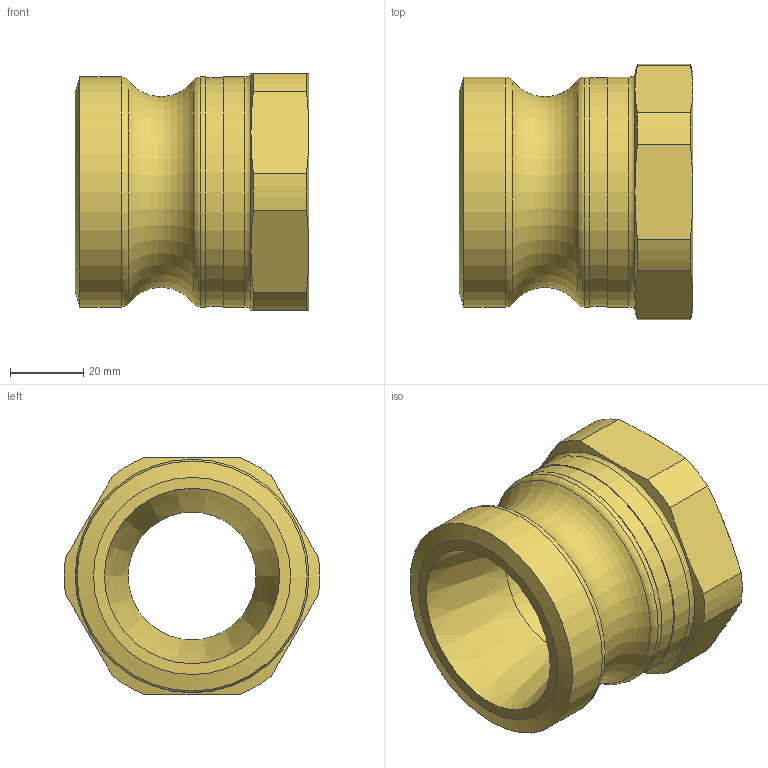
import math

import cadquery as cq

total_length = 64.0
spigot_radius = 63.0 / 2
hex_across_flats = 65.0
hex_turned_radius = 70.0 / 2
chamfer_angle = 15.0
chamfer_slope = math.tan(math.radians(chamfer_angle))

nose_face_radius = 27.0
nose_chamfer_length = (spigot_radius - nose_face_radius) * chamfer_slope

cam_groove_center_x = 23.5
cam_groove_floor_radius = 26.1
cam_groove_arc_radius = 11.0
cam_shoulder_radius = 2.5

band_start_x = 35.8
band_end_x = 40.6
band_radius = 62.5 / 2

hex_sides = 6
hex_start_x = 48.0
hex_front_radius = 32.0
hex_back_radius = hex_across_flats / 2
hex_fillet_radius = 2.5

bore_mouth_radius = 48.0 / 2
throat_radius = 35.0 / 2
taper_length = 24.5


def cam_groove_points():
    """Name each arc end or midpoint on a groove side, as (distance from groove center, radius)."""
    arc_center_radius = cam_groove_floor_radius + cam_groove_arc_radius
    shoulder_center_radius = spigot_radius - cam_shoulder_radius
    center_distance = cam_groove_arc_radius + cam_shoulder_radius
    center_drop = arc_center_radius - shoulder_center_radius
    half_width = math.sqrt(center_distance**2 - center_drop**2)
    tangent_half_width = half_width * cam_groove_arc_radius / center_distance
    tangent_radius = arc_center_radius - center_drop * cam_groove_arc_radius / center_distance
    middle_angle = math.atan2(half_width, center_drop) / 2
    middle_half_width = half_width - cam_shoulder_radius * math.sin(middle_angle)
    middle_radius = shoulder_center_radius + cam_shoulder_radius * math.cos(middle_angle)
    return {
        "rim": (half_width, spigot_radius),
        "shoulder": (middle_half_width, middle_radius),
        "tangent": (tangent_half_width, tangent_radius),
    }


def turned_body():
    """Solid of revolution bounding the spigot and the hexagon."""
    groove = cam_groove_points()

    def groove_point(name, side):
        half_width, radius = groove[name]
        return (cam_groove_center_x + side * half_width, radius)

    fillet_rise = hex_front_radius - spigot_radius
    fillet_angle = math.acos(1 - fillet_rise / hex_fillet_radius)
    fillet_start_x = hex_start_x - hex_fillet_radius * math.sin(fillet_angle)
    fillet_middle = (
        fillet_start_x + hex_fillet_radius * math.sin(fillet_angle / 2),
        spigot_radius + hex_fillet_radius * (1 - math.cos(fillet_angle / 2)),
    )
    front_chamfer_length = (hex_turned_radius - hex_front_radius) * chamfer_slope
    back_chamfer_length = (hex_turned_radius - hex_back_radius) * chamfer_slope

    outline = (
        cq.Workplane("XY")
        .moveTo(0, 0)
        .lineTo(0, nose_face_radius)
        .lineTo(nose_chamfer_length, spigot_radius)
        .lineTo(*groove_point("rim", -1))
        .threePointArc(groove_point("shoulder", -1), groove_point("tangent", -1))
        .threePointArc((cam_groove_center_x, cam_groove_floor_radius), groove_point("tangent", 1))
        .threePointArc(groove_point("shoulder", 1), groove_point("rim", 1))
        .lineTo(band_start_x, spigot_radius)
        .lineTo(band_start_x, band_radius)
        .lineTo(band_end_x, band_radius)
        .lineTo(band_end_x, spigot_radius)
        .lineTo(fillet_start_x, spigot_radius)
        .threePointArc(fillet_middle, (hex_start_x, hex_front_radius))
        .lineTo(hex_start_x + front_chamfer_length, hex_turned_radius)
        .lineTo(total_length - back_chamfer_length, hex_turned_radius)
        .lineTo(total_length, hex_back_radius)
        .lineTo(total_length, 0)
        .close()
    )
    return outline.revolve(axisStart=(0, 0, 0), axisEnd=(1, 0, 0))


def hex_bar():
    """Hexagonal bar along X with two flats facing up and down and corners toward +Y and -Y."""
    across_corners = hex_across_flats / math.cos(math.pi / hex_sides)
    return cq.Workplane("YZ").polygon(hex_sides, across_corners).extrude(total_length)


def bore():
    """Tapered inlet and straight throat, open at both ends."""
    outline = (
        cq.Workplane("XY")
        .moveTo(0, 0)
        .lineTo(0, bore_mouth_radius)
        .lineTo(taper_length, throat_radius)
        .lineTo(total_length, throat_radius)
        .lineTo(total_length, 0)
        .close()
    )
    return outline.revolve(axisStart=(0, 0, 0), axisEnd=(1, 0, 0))


result = turned_body().intersect(hex_bar()).cut(bore())